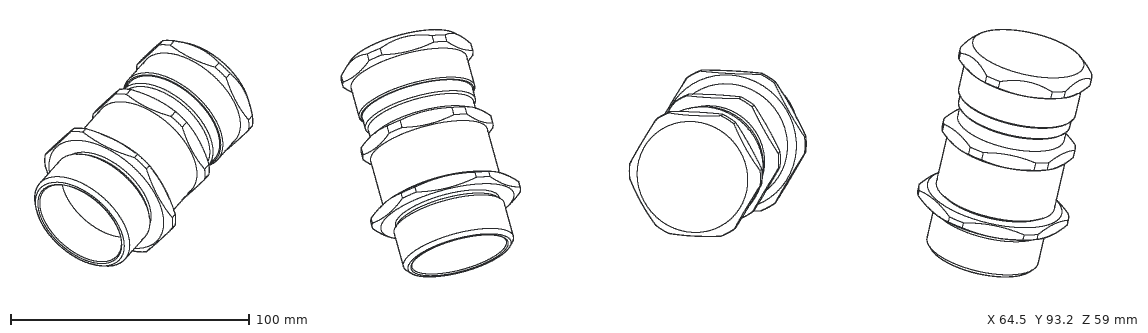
import cadquery as cq
import math

LENGTH = 93.2
END_Y = -LENGTH / 2

spigot_d = 48.0
spigot_length = 17.15
spigot_tip_d = 44.8
tip_chamfer_length = 1.8
undercut_d = 45.2
undercut_start = 18.6
bore_d = 41.2
bore_depth = 17.15
bore_mouth_d = 42.3
bore_chamfer = (bore_mouth_d - bore_d) / 2

lock_nut_flats = 59.0
lock_nut_corner_d = 64.5
lock_nut_face_d = 57.9
lock_nut_start = 20.1
lock_nut_end = 26.0
lock_nut_chamfer = 1.8
gland_flats = 52.0
gland_corner_d = 56.7

collar_d = 47.8
collar_base_d = 46.6
collar_chamfer = (collar_d - collar_base_d) / 2
sleeve_d = 50.9
sleeve_start = 27.4

middle_nut_start = 50.7
middle_nut_end = 58.6
middle_front_chamfer = 1.7
middle_back_chamfer = 2.9
neck_d = 46.0

step_d = 48.0
step_start = 64.2
step_chamfer_length = 0.8
barrel_d = 50.4
barrel_start = 70.1
barrel_face_d = 49.1
barrel_chamfer = (barrel_d - barrel_face_d) / 2

cap_start = 84.1
cap_front_chamfer = 1.7
cap_face_d = 47.8
cap_back_chamfer = (gland_corner_d - cap_face_d) / 2


def revolve_profile(stations):
    """Revolve (diameter, distance from the open end) stations about Y."""
    first, last = stations[0][1], stations[-1][1]
    outline = [(0, END_Y + first)]
    outline += [(diameter / 2, END_Y + along) for diameter, along in stations]
    outline.append((0, END_Y + last))
    return cq.Workplane("XY").polyline(outline).close().revolve(360, (0, 0, 0), (0, 1, 0))


def hex_nut(flats, corner_d, start, end, front, back):
    """Hexagon with flats facing +Z and -Z; front and back are (face diameter, chamfer length)."""
    front_d, front_length = front
    back_d, back_length = back
    prism = (
        cq.Workplane("XZ", origin=(0, END_Y + start, 0))
        .polygon(6, flats / math.cos(math.pi / 6))
        .extrude(start - end)
    )
    turned = revolve_profile([
        (front_d, start),
        (corner_d, start + front_length),
        (corner_d, end - back_length),
        (back_d, end),
    ])
    return prism.intersect(turned)


body = revolve_profile([
    (spigot_tip_d, 0),
    (spigot_d, tip_chamfer_length),
    (spigot_d, spigot_length),
    (undercut_d, undercut_start),
    (undercut_d, lock_nut_end),
    (collar_base_d, lock_nut_end),
    (collar_d, lock_nut_end + collar_chamfer),
    (collar_d, sleeve_start),
    (sleeve_d, sleeve_start),
    (sleeve_d, middle_nut_start),
    (neck_d, middle_nut_start),
    (neck_d, step_start),
    (step_d, step_start + step_chamfer_length),
    (step_d, barrel_start),
    (barrel_face_d, barrel_start),
    (barrel_d, barrel_start + barrel_chamfer),
    (barrel_d, cap_start),
    (cap_face_d, cap_start),
    (cap_face_d, LENGTH),
])

lock_nut = hex_nut(
    lock_nut_flats, lock_nut_corner_d, lock_nut_start, lock_nut_end,
    (lock_nut_face_d, lock_nut_chamfer), (lock_nut_face_d, lock_nut_chamfer),
)
middle_nut = hex_nut(
    gland_flats, gland_corner_d, middle_nut_start, middle_nut_end,
    (sleeve_d, middle_front_chamfer), (neck_d, middle_back_chamfer),
)
cap_nut = hex_nut(
    gland_flats, gland_corner_d, cap_start, LENGTH,
    (barrel_d, cap_front_chamfer), (cap_face_d, cap_back_chamfer),
)

bore = revolve_profile([
    (bore_mouth_d, 0),
    (bore_d, bore_chamfer),
    (bore_d, bore_depth),
])

result = body.union(lock_nut).union(middle_nut).union(cap_nut).cut(bore)